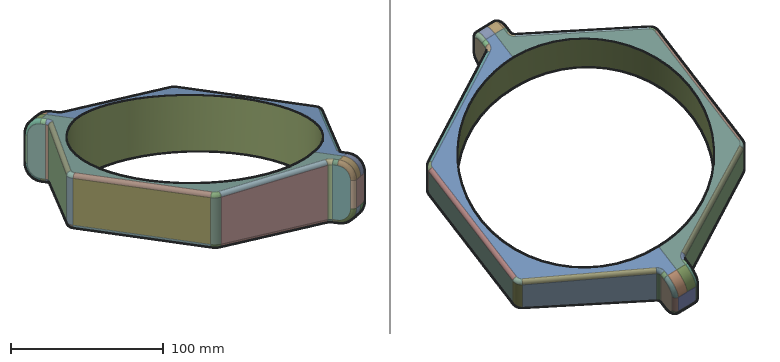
import cadquery as cq
import math

length = 235.0
across_flats = 182.8
ridge_height = 44.6
edge_height = 38.5
bore_diameter = 168.2
lug_width = 20.0
corner_radius = 7.0
neck_radius = 3.0
lug_end_radius = 12.2
edge_radius = 3.0

half_length = length / 2
half_flats = across_flats / 2
half_lug = lug_width / 2
hex_slope = math.tan(math.radians(60))
hex_side = across_flats / hex_slope
corner_x = hex_side / 2
neck_x = hex_side - half_lug / hex_slope
tolerance = 0.02


def half_outline():
    """Extruded +Y half of the hexagon with its lugs, vertical corners blended."""
    points = [
        (-half_length, 0),
        (-half_length, half_lug),
        (-neck_x, half_lug),
        (-corner_x, half_flats),
        (corner_x, half_flats),
        (neck_x, half_lug),
        (half_length, half_lug),
        (half_length, 0),
    ]
    body = cq.Workplane("XY").polyline(points).close().extrude(ridge_height / 2, both=True)
    for x, y, radius in [(corner_x, half_flats, corner_radius), (neck_x, half_lug, neck_radius)]:
        for side in (-1, 1):
            corner = cq.selectors.NearestToPointSelector((side * x, y, 0))
            body = body.edges("|Z").edges(corner).fillet(radius)
    return body


def half_taper():
    """Wedge whose top and bottom fall away from the ridge towards the flat."""
    section = [
        (0, -ridge_height / 2),
        (half_flats, -edge_height / 2),
        (half_flats, edge_height / 2),
        (0, ridge_height / 2),
    ]
    return cq.Workplane("YZ").polyline(section).close().extrude(half_length, both=True)


def round_lug_ends(body):
    """Round the top and bottom of each lug end."""
    return body.faces("<X or >X").edges("not |Z").fillet(lug_end_radius)


def round_rim(body):
    """Round the edges around the outer side, leaving the ridge plane sharp."""
    def on_rim(edge):
        start = edge.startPoint()
        end = edge.endPoint()
        off_ridge = min(start.y, end.y) > tolerance
        at_lug_end = abs(edge.Center().x) > half_length - tolerance
        upright = abs(start.x - end.x) < tolerance and abs(start.y - end.y) < tolerance
        return off_ridge and (at_lug_end or not upright)

    rim = [edge for edge in body.edges().vals() if on_rim(edge)]
    return body.newObject(rim).fillet(edge_radius)


half = half_outline().intersect(half_taper())
half = round_rim(round_lug_ends(half))
ring = half.union(half.mirror("XZ"))
bore = cq.Workplane("XY").cylinder(ridge_height, bore_diameter / 2)
result = ring.cut(bore)